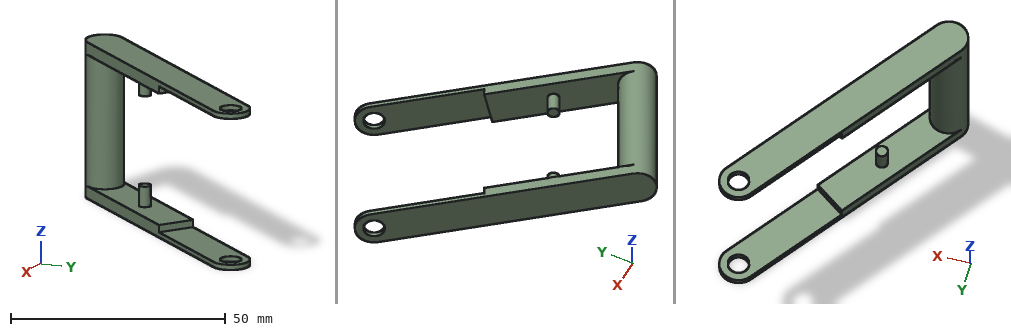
import cadquery as cq
import math

size_x = 47.35
size_y = 58.55
height = 38.0
post_diameter = 9.0

thin = 1.3
thick = 3.05
thick_length = 35.5
eye_diameter = 5.0

pin_diameter = 2.8
pin_length = 5.0
pin_distance = 19.95

run_x = size_x - post_diameter
run_y = size_y - post_diameter
arm_length = math.hypot(run_x, run_y)
arm_angle = math.degrees(math.atan2(run_y, run_x))


def make_gap(start, floor):
    """Space between the arms from X = start past the eye, leaving arms as thick as floor."""
    return (
        cq.Workplane("XY")
        .box(arm_length + post_diameter, post_diameter, height - 2 * floor, centered=(False, True, False))
        .translate((start, 0, floor))
    )


def make_pin(base):
    """Pin rising from Z = base."""
    return (
        cq.Workplane("XY", origin=(pin_distance, 0, base))
        .circle(pin_diameter / 2)
        .extrude(pin_length)
    )


body = (
    cq.Workplane("XY")
    .center(arm_length / 2, 0)
    .slot2D(arm_length + post_diameter, post_diameter)
    .extrude(height)
)

post = cq.Workplane("XY").circle(post_diameter / 2).extrude(height)
frame = body.cut(make_gap(0, thick).cut(post)).cut(make_gap(thick_length, thin))

for pin_base in (thick, height - thick - pin_length):
    frame = frame.union(make_pin(pin_base))

eyes = (
    cq.Workplane("XY")
    .center(arm_length, 0)
    .circle(eye_diameter / 2)
    .extrude(height)
)
frame = frame.cut(eyes)

result = (
    frame.rotate((0, 0, 0), (0, 0, 1), arm_angle)
    .translate((-run_x / 2, -run_y / 2, -height / 2))
)